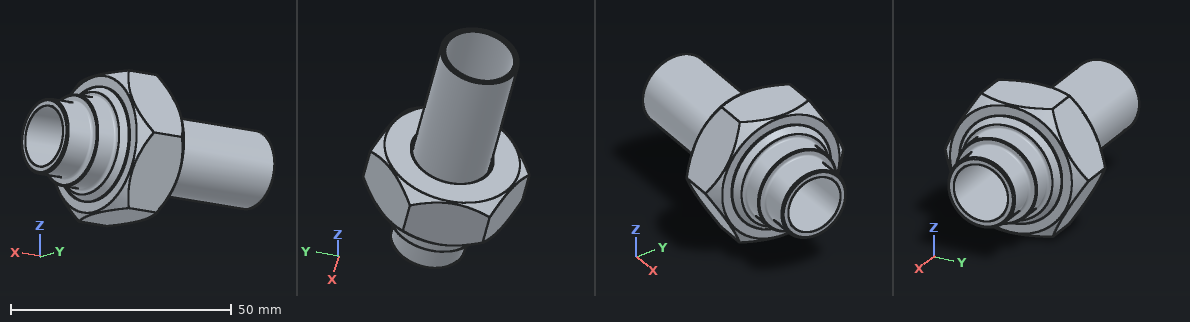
import cadquery as cq
import math


nut_start = 31.5
nut_end = 45.1
flange_start = 33.9
joint_face = 36.3
collar_end = 45.45
cone_end = 47.05
shoulder_end = 52.35
fitting_end = 59.5

tube_diameter = 18.0
tube_bore = 16.0
flange_diameter = 24.1
tube_outer_chamfer = 0.3
tube_bore_chamfer = 0.3

nut_across_flats = 32.0
nut_face_diameter = 31.4
nut_bore = 18.5
nut_bore_chamfer = 0.35
thread_diameter = 26.4

cone_tip_diameter = 23.5
shoulder_diameter = 21.0
spigot_diameter = 17.2
fitting_bore = 14.0
fitting_bore_chamfer = 0.3
neck_fillet = 0.55
shoulder_chamfer = 0.25
spigot_chamfer = 0.35


def revolve_about_x(profile):
    """Turn a closed (x, radius) profile once around the X axis."""
    return profile.close().revolve(360, (0, 0, 0), (1, 0, 0))


def make_tube():
    """Tube with a bevelled free end and a flange held inside the nut."""
    outer = tube_diameter / 2
    inner = tube_bore / 2
    flange = flange_diameter / 2
    profile = (
        cq.Workplane("XY")
        .moveTo(tube_bore_chamfer, inner)
        .lineTo(0, inner + tube_bore_chamfer)
        .lineTo(0, outer - tube_outer_chamfer)
        .lineTo(tube_outer_chamfer, outer)
        .lineTo(flange_start, outer)
        .lineTo(flange_start, flange)
        .lineTo(joint_face, flange)
        .lineTo(joint_face, inner)
    )
    return revolve_about_x(profile)


def make_nut_envelope():
    """Turned blank whose 45 degree bevels trim the hexagon corners at both ends."""
    corner = nut_across_flats / math.sqrt(3)
    face = nut_face_diameter / 2
    bevel = corner - face
    profile = (
        cq.Workplane("XY")
        .moveTo(nut_start, 0)
        .lineTo(nut_start, face)
        .lineTo(nut_start + bevel, corner)
        .lineTo(nut_end - bevel, corner)
        .lineTo(nut_end, face)
        .lineTo(nut_end, 0)
    )
    return revolve_about_x(profile)


def make_nut_cavity():
    """Clearance bore with a bevelled mouth, then the wide bore for flange and collar."""
    bore = nut_bore / 2
    thread = thread_diameter / 2
    profile = (
        cq.Workplane("XY")
        .moveTo(nut_start, 0)
        .lineTo(nut_start, bore + nut_bore_chamfer)
        .lineTo(nut_start + nut_bore_chamfer, bore)
        .lineTo(flange_start, bore)
        .lineTo(flange_start, thread)
        .lineTo(nut_end, thread)
        .lineTo(nut_end, 0)
    )
    return revolve_about_x(profile)


def make_nut():
    corner_diameter = 2 * nut_across_flats / math.sqrt(3)
    hexagon = (
        cq.Workplane("YZ", origin=(nut_start, 0, 0))
        .polygon(6, corner_diameter)
        .extrude(nut_end - nut_start)
    )
    return hexagon.intersect(make_nut_envelope()).cut(make_nut_cavity())


def make_fitting():
    """Collar in the nut, cone, filleted shoulder and spigot, bored through."""
    collar = thread_diameter / 2
    cone_tip = cone_tip_diameter / 2
    shoulder = shoulder_diameter / 2
    spigot = spigot_diameter / 2
    bore = fitting_bore / 2
    fillet_mid = neck_fillet * (1 - math.sqrt(0.5))
    profile = (
        cq.Workplane("XY")
        .moveTo(joint_face + fitting_bore_chamfer, bore)
        .lineTo(joint_face, bore + fitting_bore_chamfer)
        .lineTo(joint_face, collar)
        .lineTo(collar_end, collar)
        .lineTo(cone_end, cone_tip)
        .lineTo(cone_end, shoulder + neck_fillet)
        .threePointArc(
            (cone_end + fillet_mid, shoulder + fillet_mid),
            (cone_end + neck_fillet, shoulder),
        )
        .lineTo(shoulder_end - shoulder_chamfer, shoulder)
        .lineTo(shoulder_end, shoulder - shoulder_chamfer)
        .lineTo(shoulder_end, spigot + neck_fillet)
        .threePointArc(
            (shoulder_end + fillet_mid, spigot + fillet_mid),
            (shoulder_end + neck_fillet, spigot),
        )
        .lineTo(fitting_end - spigot_chamfer, spigot)
        .lineTo(fitting_end, spigot - spigot_chamfer)
        .lineTo(fitting_end, bore)
    )
    return revolve_about_x(profile)


tube = make_tube()
nut = make_nut()
fitting = make_fitting()

result = cq.Compound.makeCompound([tube.val(), nut.val(), fitting.val()])